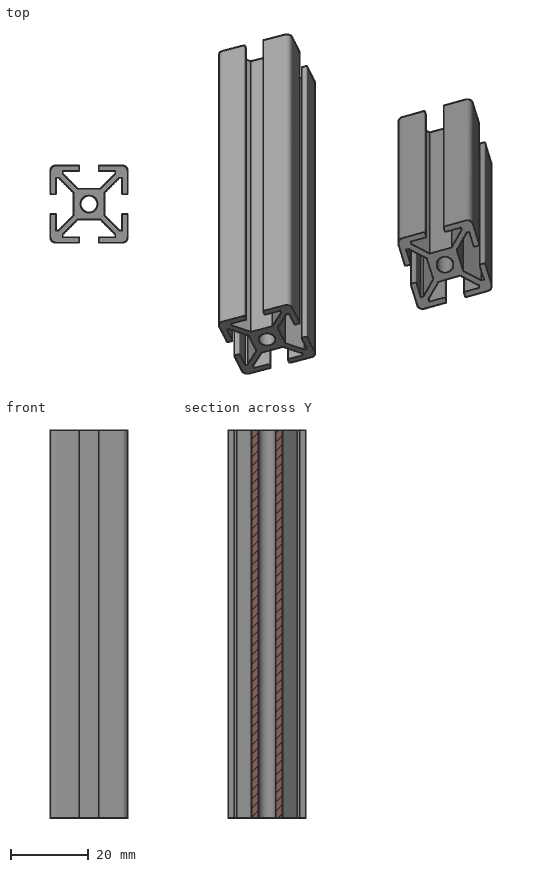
import cadquery as cq
import math

side = 20.0
length = 100.0
corner_radius = 1.5

bore_diameter = 4.3
slot_opening = 5.0
lip_thickness = 1.5
lip_edge_radius = 0.3
core_width = 8.0
web_thickness = 1.5
pocket_width = 13.5

half_side = side / 2
half_opening = slot_opening / 2
half_core = core_width / 2
half_pocket = pocket_width / 2
lip_inner = half_side - lip_thickness
web_offset = web_thickness / math.sqrt(2)


def make_slot():
    """T-slot open toward +Y, bounded by the core, two diagonal webs and two lips."""
    right_side = [
        (half_core - web_offset, half_core),
        (half_pocket, half_pocket + web_offset),
        (half_pocket, lip_inner),
        (half_opening, lip_inner),
        (half_opening, half_side),
    ]
    left_side = [(-x, y) for x, y in reversed(right_side)]
    return cq.Workplane("XY").polyline(right_side + left_side).close().extrude(length)


profile = cq.Workplane("XY").rect(side, side).extrude(length)
profile = profile.edges("|Z").fillet(corner_radius)

slot = make_slot()
lip_zone = cq.selectors.BoxSelector(
    (-half_opening - lip_edge_radius, lip_inner - lip_edge_radius, 0),
    (half_opening + lip_edge_radius, half_side + lip_edge_radius, length),
)
for _ in range(4):
    profile = profile.cut(slot)
    profile = profile.edges("|Z").edges(lip_zone).fillet(lip_edge_radius)
    profile = profile.rotate((0, 0, 0), (0, 0, 1), 90)

bore = cq.Workplane("XY").circle(bore_diameter / 2).extrude(length)
result = profile.cut(bore)